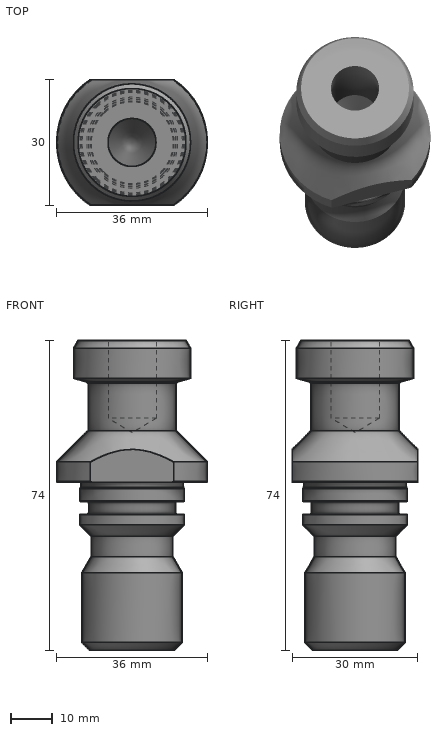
import cadquery as cq
import math

length = 74.0

head_r = 28.0 / 2
head_top_z = length
head_chamfer_h = 1.9
head_chamfer_w = head_chamfer_h * math.tan(math.radians(30))
head_bottom_z = 65.0
head_underside_z = 64.1

neck_r = 21.0 / 2
neck_chamfer = 0.4

collar_r = 36.0 / 2
collar_bottom_z = 40.1
collar_rim_z = 45.0
collar_cone_top_z = collar_rim_z + collar_r - neck_r
collar_edge = 0.2
flat_width = 30.0

relief_r = 24.5 / 2
ring_r = 25.0 / 2
ring_edge = 0.2
upper_ring_top_z = 38.8
upper_ring_bottom_z = 35.5
seal_groove_r = 20.8 / 2
seal_groove_fillet = 0.3
lower_ring_top_z = 32.55
lower_ring_bottom_z = 30.05

waist_r = 19.5 / 2
waist_top_z = lower_ring_bottom_z - (ring_r - waist_r)
shank_r = 24.0 / 2
shank_top_z = 18.5
waist_bottom_z = shank_top_z + (shank_r - waist_r) / math.tan(math.radians(30))
shank_chamfer = 2.0

bore_r = 11.5 / 2
bore_depth = 18.5
drill_point_angle = 118.0
drill_point_h = bore_r / math.tan(math.radians(drill_point_angle / 2))


def concave_arc(outline, end, center, radius, mid_angle):
    """Add a quarter arc passing through mid_angle (degrees) around center."""
    angle = math.radians(mid_angle)
    mid = (center[0] + radius * math.cos(angle), center[1] + radius * math.sin(angle))
    return outline.threePointArc(mid, end)


def make_body():
    """Revolve the half outline, drawn as (radius, height) from the bottom up."""
    outline = (
        cq.Workplane("XZ")
        .moveTo(0, 0)
        .lineTo(shank_r - shank_chamfer, 0)
        .lineTo(shank_r, shank_chamfer)
        .lineTo(shank_r, shank_top_z)
        .lineTo(waist_r, waist_bottom_z)
        .lineTo(waist_r, waist_top_z)
        .lineTo(ring_r, lower_ring_bottom_z)
        .lineTo(ring_r, lower_ring_top_z - ring_edge)
        .lineTo(ring_r - ring_edge, lower_ring_top_z)
        .lineTo(seal_groove_r + seal_groove_fillet, lower_ring_top_z)
    )
    fillet_r = seal_groove_r + seal_groove_fillet
    low_z = lower_ring_top_z + seal_groove_fillet
    high_z = upper_ring_bottom_z - seal_groove_fillet
    outline = concave_arc(outline, (seal_groove_r, low_z), (fillet_r, low_z), seal_groove_fillet, 225)
    outline = outline.lineTo(seal_groove_r, high_z)
    outline = concave_arc(
        outline, (fillet_r, upper_ring_bottom_z), (fillet_r, high_z), seal_groove_fillet, 135
    )
    outline = (
        outline
        .lineTo(ring_r - ring_edge, upper_ring_bottom_z)
        .lineTo(ring_r, upper_ring_bottom_z + ring_edge)
        .lineTo(ring_r, upper_ring_top_z - ring_edge)
        .lineTo(relief_r, upper_ring_top_z + ring_edge)
        .lineTo(relief_r, collar_bottom_z)
        .lineTo(collar_r - collar_edge, collar_bottom_z)
        .lineTo(collar_r, collar_bottom_z + collar_edge)
        .lineTo(collar_r, collar_rim_z)
        .lineTo(neck_r, collar_cone_top_z)
        .lineTo(neck_r, head_underside_z - neck_chamfer)
        .lineTo(neck_r + neck_chamfer, head_underside_z)
        .lineTo(head_r, head_bottom_z)
        .lineTo(head_r, head_top_z - head_chamfer_h)
        .lineTo(head_r - head_chamfer_w, head_top_z)
        .lineTo(0, head_top_z)
        .close()
    )
    return outline.revolve(360, (0, 0, 0), (0, 1, 0))


def make_flats_envelope():
    """Slab whose Y faces form the two wrench flats."""
    return cq.Workplane("XY").box(2 * collar_r, flat_width, length, centered=(True, True, False))


def make_bore():
    floor_z = head_top_z - bore_depth
    return (
        cq.Workplane("XZ")
        .moveTo(0, head_top_z)
        .lineTo(bore_r, head_top_z)
        .lineTo(bore_r, floor_z)
        .lineTo(0, floor_z - drill_point_h)
        .close()
        .revolve(360, (0, 0, 0), (0, 1, 0))
    )


result = make_body().intersect(make_flats_envelope()).cut(make_bore())